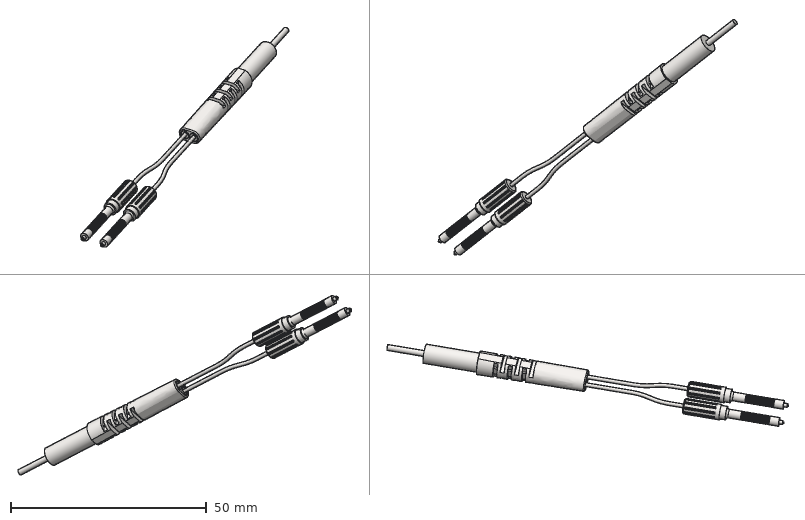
import cadquery as cq

cable_diameter = 1.6
cable_end_y = 52.0
sleeve_diameter = 5.0
sleeve_end_y = 42.2

boot_length = 28.2
boot_width = 6.0
boot_rear_height = 6.0
boot_front_height = 4.0
boot_flat_width = 2.1
boot_edge_chamfer = 0.3

slot_count = 3
slot_pitch = 3.7
slot_width = 1.0
first_side_slot_y = 23.4
first_top_slot_y = first_side_slot_y - slot_pitch / 2
side_slot_floor = 1.4

core_width = 3.7
core_height = 2.3

wire_diameter = 1.0
wire_boot_x = 1.2
wire_recess_radius = 1.1
wire_recess_depth = 0.3
bend_start_y = -12.1
bend_end_y = -21.8

connector_x = 2.8
knob_rear_y = -25.9
knob_front_y = -35.5
knob_diameter = 4.1
knob_radius = knob_diameter / 2
knob_chamfer = 0.3
collar_front_y = -37.0
collar_radius = 1.8
shoulder_front_y = -37.6
shoulder_radius = 1.4
shaft_front_y = -50.8
shaft_radius = 1.1
ferrule_front_y = -51.7
ferrule_radius = 0.5
tip_front_y = -52.0
tip_radius = 0.2

flute_count = 9
flute_rear_y = -26.4
flute_front_y = -34.3
flute_mouth_width = 0.6
flute_floor_width = 0.2
flute_depth = 0.2

thread_rear_y = -40.9
thread_pitch = 0.3
thread_depth = 0.16
thread_ring_count = 24


def rod(diameter, start_y, end_y):
    """Round rod along Y, centred on the Y axis."""
    plane = cq.Workplane("XZ", origin=(0, start_y, 0))
    return plane.circle(diameter / 2).extrude(start_y - end_y)


def boot_section(workplane, height):
    """Closed outline with flat top and bottom and round sides."""
    flat_x = boot_flat_width / 2
    side_x = boot_width / 2
    top_z = height / 2
    return (
        workplane.moveTo(-flat_x, top_z)
        .lineTo(flat_x, top_z)
        .threePointArc((side_x, 0), (flat_x, -top_z))
        .lineTo(-flat_x, -top_z)
        .threePointArc((-side_x, 0), (-flat_x, top_z))
        .close()
    )


def side_slots(y):
    """Slots from both sides, reaching in above and below the core."""
    block_width = boot_width / 2
    center_x = side_slot_floor + block_width / 2
    place = cq.Workplane("XY", origin=(0, y, 0))
    blocks = place.pushPoints([(-center_x, 0), (center_x, 0)])
    blocks = blocks.box(block_width, slot_width, boot_rear_height)
    core = place.box(core_width, slot_width, core_height)
    return blocks.cut(core)


def top_slots(y):
    """Slots from top and bottom, across the full width down to the core."""
    place = cq.Workplane("XY", origin=(0, y, 0))
    block = place.box(boot_width, slot_width, boot_rear_height)
    core = place.box(boot_width, slot_width, core_height)
    return block.cut(core)


def make_boot():
    front = boot_section(cq.Workplane("XZ"), boot_front_height)
    both = boot_section(front.workplane(offset=-boot_length), boot_rear_height)
    boot = both.loft(ruled=True, combine=True)
    boot = boot.faces("<Y").edges().chamfer(boot_edge_chamfer)
    for index in range(slot_count):
        step = index * slot_pitch
        boot = boot.cut(side_slots(first_side_slot_y - step))
        boot = boot.cut(top_slots(first_top_slot_y - step))
    recesses = cq.Workplane("XZ").pushPoints([(-wire_boot_x, 0), (wire_boot_x, 0)])
    return boot.cut(recesses.circle(wire_recess_radius).extrude(-wire_recess_depth))


def make_wire(side):
    """Wire that bends outward in an S between its boot recess and its connector."""
    start_x = side * wire_boot_x
    end_x = side * connector_x
    middle = ((start_x + end_x) / 2, (bend_start_y + bend_end_y) / 2)
    path = (
        cq.Workplane("XY")
        .moveTo(start_x, wire_recess_depth)
        .lineTo(start_x, bend_start_y)
        .tangentArcPoint(middle, relative=False)
        .tangentArcPoint((end_x, bend_end_y), relative=False)
        .lineTo(end_x, knob_rear_y)
    )
    start_plane = cq.Workplane("XZ", origin=(start_x, wire_recess_depth, 0))
    return start_plane.circle(wire_diameter / 2).sweep(path)


def connector_blank():
    """Turned connector body with knob, collar, threaded shaft and ferrule."""
    profile = (
        cq.Workplane("XY")
        .moveTo(0, knob_rear_y)
        .lineTo(knob_radius - knob_chamfer, knob_rear_y)
        .lineTo(knob_radius, knob_rear_y - knob_chamfer)
        .lineTo(knob_radius, knob_front_y)
        .lineTo(collar_radius, knob_front_y)
        .lineTo(collar_radius, collar_front_y)
        .lineTo(shoulder_radius, collar_front_y)
        .lineTo(shaft_radius, shoulder_front_y)
    )
    for ring in range(thread_ring_count):
        ring_y = thread_rear_y - ring * thread_pitch
        profile = profile.lineTo(shaft_radius, ring_y)
        profile = profile.lineTo(shaft_radius - thread_depth, ring_y - thread_pitch / 2)
    thread_front_y = thread_rear_y - thread_ring_count * thread_pitch
    profile = (
        profile.lineTo(shaft_radius, thread_front_y)
        .lineTo(shaft_radius, shaft_front_y)
        .lineTo(ferrule_radius, shaft_front_y)
        .lineTo(ferrule_radius, ferrule_front_y)
        .lineTo(tip_radius, ferrule_front_y)
        .lineTo(tip_radius, tip_front_y)
        .lineTo(0, tip_front_y)
        .close()
    )
    return profile.revolve(360, (0, 0, 0), (0, 1, 0))


def cut_flutes(connector, side):
    """Straight flutes with sloping walls, the first on the knob's outer side."""
    floor_x = knob_radius - flute_depth
    outer_x = knob_radius + flute_depth
    outer_width = 2 * flute_mouth_width - flute_floor_width
    flute = (
        cq.Workplane("XZ", origin=(0, flute_rear_y, 0))
        .moveTo(side * floor_x, flute_floor_width / 2)
        .lineTo(side * outer_x, outer_width / 2)
        .lineTo(side * outer_x, -outer_width / 2)
        .lineTo(side * floor_x, -flute_floor_width / 2)
        .close()
        .extrude(flute_rear_y - flute_front_y)
    )
    for index in range(flute_count):
        angle = index * 360 / flute_count
        connector = connector.cut(flute.rotate((0, 0, 0), (0, 1, 0), angle))
    return connector


def make_connector(side):
    connector = cut_flutes(connector_blank(), side)
    return connector.translate((side * connector_x, 0, 0))


cable = rod(cable_diameter, sleeve_end_y, cable_end_y)
sleeve = rod(sleeve_diameter, boot_length, sleeve_end_y)
boot = make_boot()
sides = (-1, 1)
wires = [make_wire(side).val() for side in sides]
connectors = [make_connector(side).val() for side in sides]

result = cq.Compound.makeCompound(
    [cable.val(), sleeve.val(), boot.val(), *wires, *connectors]
)